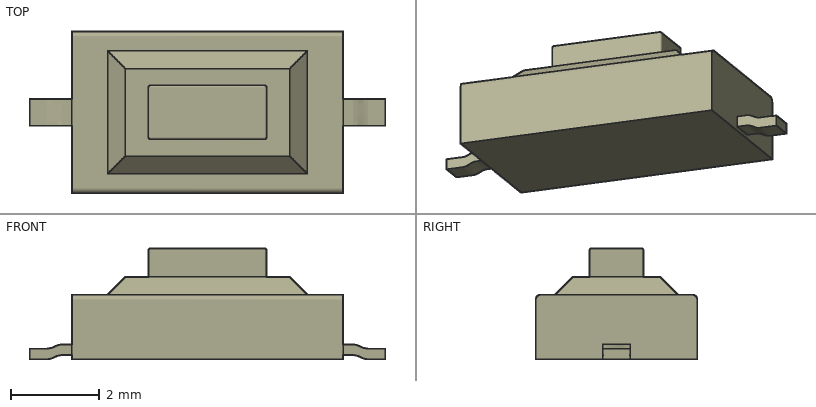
import cadquery as cq

body_length = 6.135
body_width = 3.66
body_height = 1.465
body_edge_radius = 0.12

collar_length = 4.525
collar_width = 2.785
collar_height = 0.4

button_length = 2.67
button_width = 1.22
button_edge_radius = 0.05
overall_height = 2.51
button_height = overall_height - body_height - collar_height

overall_length = 8.05
lead_width = 0.61
lead_thickness = 0.24
lead_foot_length = 0.395
lead_bend_length = 0.34
lead_rise = 0.1
lead_embed = 0.08


def make_body():
    """Housing block with rounded top edges along its length."""
    block = cq.Workplane("XY").box(body_length, body_width, body_height, centered=(True, True, False))
    return block.edges("|X and >Z").fillet(body_edge_radius)


def make_collar():
    """Rectangular frustum standing on the housing."""
    return (
        cq.Workplane("XY")
        .workplane(offset=body_height)
        .rect(collar_length, collar_width)
        .extrude(collar_height, taper=45)
    )


def make_button():
    """Button block with its upright and top edges rounded."""
    return (
        cq.Workplane("XY")
        .workplane(offset=body_height + collar_height)
        .box(button_length, button_width, button_height, centered=(True, True, False))
        .edges("|Z or >Z")
        .fillet(button_edge_radius)
    )


def make_left_lead():
    """Flat strip raised by a smooth S-bend level at both ends, with its root inside the housing."""
    tip_x = -overall_length / 2
    bend_start_x = tip_x + lead_foot_length
    bend_end_x = bend_start_x + lead_bend_length
    root_x = -body_length / 2 + lead_embed
    top_z = lead_rise + lead_thickness

    return (
        cq.Workplane("XZ", origin=(0, lead_width / 2, 0))
        .moveTo(tip_x, 0)
        .lineTo(bend_start_x, 0)
        .spline([(bend_end_x, lead_rise)], tangents=[(1, 0), (1, 0)], includeCurrent=True)
        .lineTo(root_x, lead_rise)
        .lineTo(root_x, top_z)
        .lineTo(bend_end_x, top_z)
        .spline([(bend_start_x, lead_thickness)], tangents=[(-1, 0), (-1, 0)], includeCurrent=True)
        .lineTo(tip_x, lead_thickness)
        .close()
        .extrude(lead_width)
    )


left_lead = make_left_lead()
right_lead = left_lead.mirror("YZ")

result = make_body().union(make_collar()).union(make_button()).union(left_lead).union(right_lead)